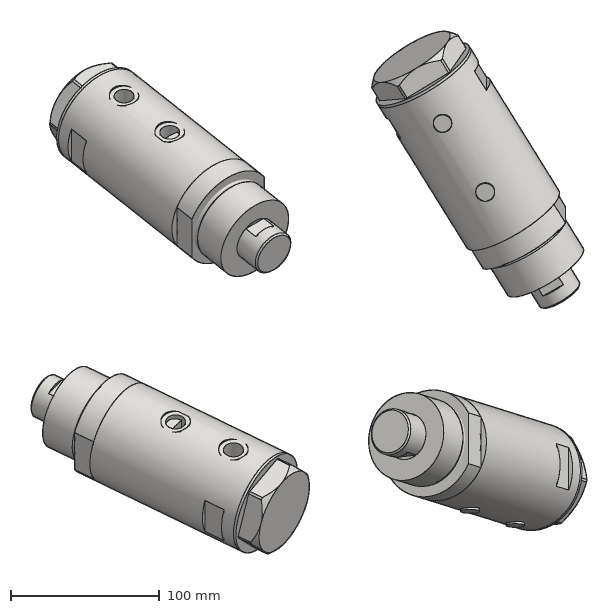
import cadquery as cq
import math

FLANGE_START = 14.3
HOUSING_START = 16.3
PISTON_START = 42.0
PISTON_END = 83.7
SPIGOT_START = 88.5
COLLAR_START = 133.5
COLLAR_END = 149.0
HEAD_END = 176.5
ROD_END = 196.5

BODY_RADIUS = 73.0 / 2
BORE_RADIUS = 20.5
WRENCH_FLAT_START = 26.1
WRENCH_FLAT_END = 41.7
WRENCH_FLAT_OFFSET = 33.5
PORT_STATIONS = (41.5, 88.6)
PORT_DIAMETER = 13.4
SPOTFACE_DIAMETER = 19.8
SPOTFACE_DEPTH = 1.2
BOSSES = ((40.5, 12.4), (96.9, 12.8))
BOSS_PROJECTION = 1.2

HEX_ACROSS_FLATS = 59.7
HEX_CORNER_RADIUS = 34.0
HEX_TILT = 7.5

SPIGOT_RADIUS = 32.0
COLLAR_FLAT_OFFSET = 32.0
NOSE_RADIUS = 60.0 / 2
RELIEF_RADIUS = 58.0 / 2
RELIEF_FILLET = 0.8
RELIEF_LENGTH = 2.4
NOSE_CHAMFER = NOSE_RADIUS - RELIEF_RADIUS

ROD_RADIUS = 15.7
ROD_FLAT_END = 186.7
ROD_FLAT_OFFSET = 13.5
ROD_CHAMFER = 1.2


def cylinder_x(start, end, radius):
    """Cylinder about the X axis between two stations."""
    return cq.Workplane("YZ", origin=(start, 0, 0)).circle(radius).extrude(end - start)


def cut_flats(body, start, end, offset, turn=0):
    """Cut two parallel flats at +-offset along Y, turned about the X axis by `turn` degrees."""
    depth = BODY_RADIUS
    width = 2 * BODY_RADIUS
    for side in (-1, 1):
        block = cq.Workplane("XY").box(end - start, depth, width)
        block = block.translate(((start + end) / 2, side * (offset + depth / 2), 0))
        body = body.cut(block.rotate((0, 0, 0), (1, 0, 0), turn))
    return body


def make_housing():
    body = cylinder_x(HOUSING_START, COLLAR_START, BODY_RADIUS)

    boss_root = -(SPIGOT_RADIUS + BODY_RADIUS) / 2
    boss_tip = -(BODY_RADIUS + BOSS_PROJECTION)
    for station, diameter in BOSSES:
        boss = cq.Workplane("XY", origin=(station, 0, boss_tip)).circle(diameter / 2)
        body = body.union(boss.extrude(boss_root - boss_tip))

    body = body.cut(cylinder_x(HOUSING_START, SPIGOT_START, BORE_RADIUS))
    body = body.cut(cylinder_x(SPIGOT_START, COLLAR_START, SPIGOT_RADIUS))

    spotface_height = BODY_RADIUS - SPOTFACE_DEPTH
    for station in PORT_STATIONS:
        port = cq.Workplane("XY", origin=(station, 0, 0)).circle(PORT_DIAMETER / 2).extrude(BODY_RADIUS)
        spotface = cq.Workplane("XY", origin=(station, 0, spotface_height)).circle(SPOTFACE_DIAMETER / 2)
        body = body.cut(port).cut(spotface.extrude(BODY_RADIUS))

    return cut_flats(body, WRENCH_FLAT_START, WRENCH_FLAT_END, WRENCH_FLAT_OFFSET)


def make_cap():
    hex_circumdiameter = HEX_ACROSS_FLATS / math.cos(math.pi / 6)
    hexagon = cq.Workplane("YZ").polygon(6, hex_circumdiameter).extrude(FLANGE_START)
    hexagon = hexagon.rotate((0, 0, 0), (1, 0, 0), -HEX_TILT)
    chamfer = HEX_CORNER_RADIUS - HEX_ACROSS_FLATS / 2
    envelope = cylinder_x(0, FLANGE_START, HEX_CORNER_RADIUS).faces("<X").chamfer(chamfer)

    flange = cylinder_x(FLANGE_START, HOUSING_START, BODY_RADIUS)
    plug = cylinder_x(HOUSING_START, PISTON_START, BORE_RADIUS)
    return hexagon.intersect(envelope).union(flange).union(plug)


def make_head():
    relief_end = COLLAR_END + RELIEF_LENGTH
    head = (
        cq.Workplane("XZ")
        .moveTo(SPIGOT_START, ROD_RADIUS)
        .lineTo(SPIGOT_START, SPIGOT_RADIUS)
        .lineTo(COLLAR_START, SPIGOT_RADIUS)
        .lineTo(COLLAR_START, BODY_RADIUS)
        .lineTo(COLLAR_END, BODY_RADIUS)
        .lineTo(COLLAR_END, RELIEF_RADIUS + RELIEF_FILLET)
        .radiusArc((COLLAR_END + RELIEF_FILLET, RELIEF_RADIUS), -RELIEF_FILLET)
        .lineTo(relief_end, RELIEF_RADIUS)
        .lineTo(relief_end + NOSE_CHAMFER, NOSE_RADIUS)
        .lineTo(HEAD_END, NOSE_RADIUS)
        .lineTo(HEAD_END, ROD_RADIUS)
        .close()
        .revolve(360, (0, 0, 0), (1, 0, 0))
    )
    return cut_flats(head, COLLAR_START, COLLAR_END, COLLAR_FLAT_OFFSET)


def make_rod():
    piston = cylinder_x(PISTON_START, PISTON_END, BORE_RADIUS)
    stem = cylinder_x(PISTON_END, ROD_END, ROD_RADIUS).faces(">X").chamfer(ROD_CHAMFER)
    rod = piston.union(stem)
    return cut_flats(rod, HEAD_END, ROD_FLAT_END, ROD_FLAT_OFFSET, turn=90)


housing = make_housing()
cap = make_cap()
head = make_head()
rod = make_rod()

result = cq.Compound.makeCompound([housing.val(), cap.val(), head.val(), rod.val()])